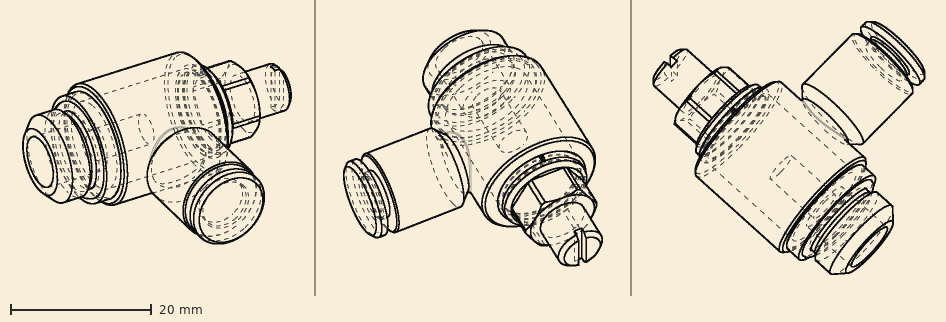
import cadquery as cq
import math


barrel_dia = 18.0
barrel_start = 8.8
barrel_end = 25.88
barrel_chamfer = 0.35
barrel_middle = (barrel_start + barrel_end) / 2
shaft_dia = 13.05

neck_dia = 9.0
neck_end = 9.3
neck_fillet = 0.2
socket_dia = 12.0
socket_start = neck_end + (socket_dia - neck_dia) / 2
socket_end = 21.3
socket_chamfer = 0.25
sleeve_dia = 7.1
sleeve_flare = 0.2
sleeve_flare_length = 0.35
flange_dia = 11.6
flange_start = 22.7
flange_end = 24.3
flange_chamfer = 0.6

tip_chamfer = 1.6
thread_dia = 13.05
thread_end = 4.45
relief_dia = 11.6
relief_start = thread_end + (thread_dia - relief_dia) / 2
bore_dia = 7.5
bore_depth = barrel_start
inner_bore_dia = 4.5
inner_bore_depth = barrel_middle

collar_dia = 16.0
collar_start = 6.32
collar_edge_height = 0.15
collar_edge_width = 0.25
seal_radius = 0.7
seal_centre_radius = relief_dia / 2 + seal_radius

groove_dia = 11.95
clip_outer_dia = 13.83
clip_wire_dia = 1.15
clip_gap = 0.5

shoulder_start = 27.05
shoulder_chamfer_start = 27.78
shoulder_end = 28.33
clip_centre = (barrel_end + shoulder_start) / 2
shoulder_top_dia = 11.5
hex_flats = 10.1
hex_corner_dia = 11.3
hex_end = 33.15
hex_chamfer_height = 0.4
hex_chamfer_width = 0.6
stud_dia = 7.0
stud_end = 39.5
stud_chamfer = 0.65
slot_width = 1.2
slot_depth = 1.4


def turned_along_y(points):
    """Solid of revolution about Y from (radius, y) points, closed along the axis."""
    axis_points = [(0, points[0][1])] + points + [(0, points[-1][1])]
    return cq.Workplane("XY").polyline(axis_points).close().revolve(360, (0, 0), (0, 1))


def cylinder_along_y(diameter, start, end):
    return turned_along_y([(diameter / 2, start), (diameter / 2, end)])


def ring_along_y(centre_radius, wire_radius, y):
    """Round-section ring about the Y axis, with its seam on the inner side."""
    section = cq.Plane(origin=(centre_radius, y, 0), xDir=(-1, 0, 0), normal=(0, 0, 1))
    return (
        cq.Workplane(section)
        .circle(wire_radius)
        .revolve(360, (centre_radius, 0), (centre_radius, 1))
    )


def make_neck():
    """Barrel and branch neck, blended where they meet."""
    barrel = cylinder_along_y(barrel_dia, barrel_start, barrel_end).edges().chamfer(barrel_chamfer)
    neck = (
        cq.Workplane("YZ")
        .center(barrel_middle, 0)
        .circle(neck_dia / 2)
        .extrude(neck_end)
    )
    joint = cq.selectors.BoxSelector(
        (barrel_dia / 4, barrel_middle - neck_dia, -neck_dia),
        (barrel_dia / 2 + neck_fillet / 2, barrel_middle + neck_dia, neck_dia),
        boundingbox=True,
    )
    return barrel.union(neck).edges(joint).fillet(neck_fillet)


def make_socket():
    """Tube socket with its release sleeve and flange, turned about the branch axis."""
    socket_radius = socket_dia / 2
    sleeve_radius = sleeve_dia / 2
    flange_radius = flange_dia / 2
    outline = [
        (neck_end, 0),
        (neck_end, neck_dia / 2),
        (socket_start, socket_radius),
        (socket_end - socket_chamfer, socket_radius),
        (socket_end, socket_radius - socket_chamfer),
        (socket_end, sleeve_radius),
        (flange_start - sleeve_flare_length, sleeve_radius),
        (flange_start, sleeve_radius + sleeve_flare),
        (flange_start, flange_radius),
        (flange_end - flange_chamfer, flange_radius),
        (flange_end, flange_radius - flange_chamfer),
        (flange_end, 0),
    ]
    socket = cq.Workplane("XY").polyline(outline).close().revolve(360, (0, 0), (1, 0))
    return socket.translate((0, barrel_middle, 0))


def make_housing():
    spindle_bore = cylinder_along_y(shaft_dia, barrel_start, barrel_end)
    return make_neck().union(make_socket()).cut(spindle_bore)


def make_spindle_core():
    """Turned spindle from the threaded tip up to the shoulder under the hexagon."""
    thread_radius = thread_dia / 2
    relief_radius = relief_dia / 2
    collar_radius = collar_dia / 2
    core = turned_along_y([
        (thread_radius - tip_chamfer, 0),
        (thread_radius, tip_chamfer),
        (thread_radius, thread_end),
        (relief_radius, relief_start),
        (relief_radius, collar_start),
        (collar_radius, collar_start),
        (collar_radius, barrel_start - collar_edge_height),
        (collar_radius - collar_edge_width, barrel_start),
        (shaft_dia / 2, barrel_start),
        (shaft_dia / 2, barrel_end),
        (groove_dia / 2, barrel_end),
        (groove_dia / 2, shoulder_start),
        (shaft_dia / 2, shoulder_start),
        (shaft_dia / 2, shoulder_chamfer_start),
        (shoulder_top_dia / 2, shoulder_end),
    ])
    seal = ring_along_y(seal_centre_radius, seal_radius, collar_start)
    return core.union(seal)


def make_clip():
    """Open retaining clip, with its gap facing +Z."""
    wire_radius = clip_wire_dia / 2
    clip = ring_along_y(clip_outer_dia / 2 - wire_radius, wire_radius, clip_centre)
    gap = (
        cq.Workplane("XY")
        .center(0, clip_centre)
        .rect(clip_gap, 2 * clip_wire_dia)
        .extrude(clip_outer_dia)
    )
    return clip.cut(gap)


def make_hexagon():
    """Hexagon with flats facing +Z and -Z, turned corners and a chamfered top."""
    corner_radius = hex_corner_dia / 2
    prism = (
        cq.Workplane("XZ", origin=(0, shoulder_end, 0))
        .polygon(6, hex_flats / math.cos(math.radians(30)))
        .extrude(shoulder_end - hex_end)
    )
    envelope = turned_along_y([
        (corner_radius, shoulder_end),
        (corner_radius, hex_end - hex_chamfer_height),
        (corner_radius - hex_chamfer_width, hex_end),
    ])
    return prism.intersect(envelope)


def make_stud():
    """Adjusting stud with a screwdriver slot across its end."""
    stud_radius = stud_dia / 2
    stud = turned_along_y([
        (stud_radius, hex_end),
        (stud_radius, stud_end - stud_chamfer),
        (stud_radius - stud_chamfer, stud_end),
    ])
    slot = cq.Workplane("XY").box(slot_width, 2 * slot_depth, 2 * stud_dia).translate((0, stud_end, 0))
    return stud.cut(slot)


def make_spindle():
    spindle = make_spindle_core().union(make_clip()).union(make_hexagon()).union(make_stud())
    bore = cylinder_along_y(bore_dia, 0, bore_depth)
    inner_bore = cylinder_along_y(inner_bore_dia, 0, inner_bore_depth)
    return spindle.cut(bore).cut(inner_bore)


housing = make_housing()
spindle = make_spindle()

result = cq.Compound.makeCompound([*housing.solids().vals(), *spindle.solids().vals()])